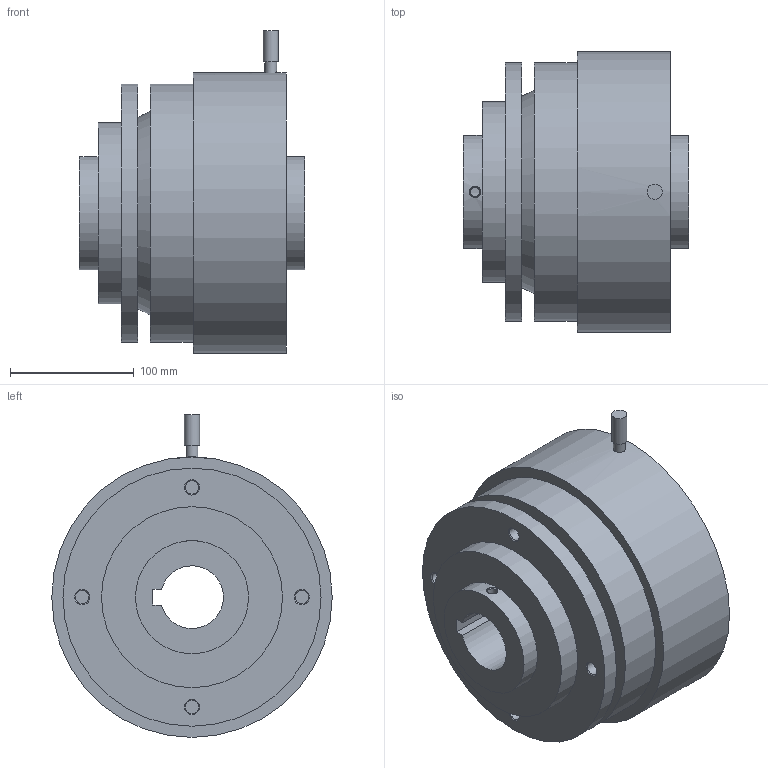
import cadquery as cq

overall_length = 182.37
flange_start = 15.3
plate_start = 34.0
plate_end = 47.2
drum_start = 57.4
housing_start = 92.2
housing_end = 167.6

hub_radius = 45.8
flange_radius = 73.3
plate_radius = 104.5
drum_radius = plate_radius
housing_radius = 227.08 / 2
cone_small_radius = 77.4
cone_large_radius = 82.5

bore_radius = 25.4
keyway_width = 12.7
keyway_reach = 31.8

bolt_count = 4
bolt_circle_radius = 88.9
bolt_hole_diameter = 10.8
bolt_mouth_diameter = 12.4

set_screw_x = 9.4
set_screw_diameter = 7.6
set_screw_mouth_diameter = 9.4

handle_x = 154.9
handle_height = 34.29
knob_length = 25.4
neck_root_depth = 20.0
knob_diameter = 12.3
neck_diameter = 9.6


def make_body():
    """Turned hub, flange, plate, cone, drum and housing."""
    profile = [
        (0, 0),
        (0, hub_radius),
        (flange_start, hub_radius),
        (flange_start, flange_radius),
        (plate_start, flange_radius),
        (plate_start, plate_radius),
        (plate_end, plate_radius),
        (plate_end, cone_small_radius),
        (drum_start, cone_large_radius),
        (drum_start, drum_radius),
        (housing_start, drum_radius),
        (housing_start, housing_radius),
        (housing_end, housing_radius),
        (housing_end, hub_radius),
        (overall_length, hub_radius),
        (overall_length, 0),
    ]
    return cq.Workplane("XZ").polyline(profile).close().revolve(360, (0, 0, 0), (1, 0, 0))


def make_bore():
    """Through bore with its rectangular keyway."""
    bore = cq.Workplane("YZ").circle(bore_radius).extrude(overall_length)
    keyway = cq.Workplane("XY").box(
        overall_length, keyway_reach, keyway_width, centered=(False, False, True)
    )
    return bore.union(keyway)


def make_chamfered_hole(diameter, mouth_diameter, depth):
    """Hole tool running from Z = 0 to Z = -depth, with a 45 degree chamfer at Z = 0."""
    radius = diameter / 2
    mouth_radius = mouth_diameter / 2
    chamfer = mouth_radius - radius
    outline = [
        (0, 0),
        (mouth_radius, 0),
        (radius, -chamfer),
        (radius, -depth),
        (0, -depth),
    ]
    return cq.Workplane("XZ").polyline(outline).close().revolve(360, (0, 0, 0), (0, 1, 0))


def make_bolt_holes():
    """Ring of holes through the plate, chamfered on its left face."""
    hole = make_chamfered_hole(bolt_hole_diameter, bolt_mouth_diameter, plate_end - plate_start)
    hole = hole.rotate((0, 0, 0), (0, 1, 0), -90).translate((plate_start, 0, bolt_circle_radius))
    holes = cq.Workplane("XY")
    for index in range(bolt_count):
        holes = holes.add(hole.rotate((0, 0, 0), (1, 0, 0), index * 360 / bolt_count))
    return holes.combine()


def make_set_screw_hole():
    """Chamfered hole from the top of the left hub down into the bore."""
    hole = make_chamfered_hole(set_screw_diameter, set_screw_mouth_diameter, hub_radius)
    return hole.translate((set_screw_x, 0, hub_radius))


def make_handle():
    """Thin neck, rooted inside the housing, carrying a thicker knob."""
    knob_bottom = housing_radius + handle_height - knob_length
    root = housing_radius - neck_root_depth
    neck = (
        cq.Workplane("XY", origin=(handle_x, 0, root))
        .circle(neck_diameter / 2)
        .extrude(knob_bottom - root)
    )
    knob = (
        cq.Workplane("XY", origin=(handle_x, 0, knob_bottom))
        .circle(knob_diameter / 2)
        .extrude(knob_length)
    )
    return neck.union(knob)


result = (
    make_body()
    .union(make_handle())
    .cut(make_bore())
    .cut(make_bolt_holes())
    .cut(make_set_screw_hole())
)